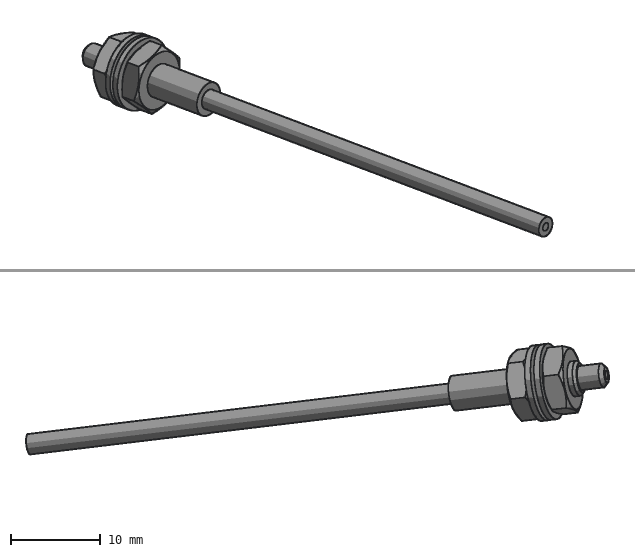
import cadquery as cq
import math

total_length = 68.0

core_radius = 0.5
cable_radius = 1.15

sleeve_radius = 2.0
sleeve_end = 17.95
tip_radius = 1.35
tip_length = 3.0
tip_chamfer = 0.5
shoulder_chamfer = 0.35

washer_radius = 4.25
washer_thickness = 0.7
washer_gap = 0.4
front_washer_start = 6.4
rear_washer_start = front_washer_start + washer_thickness + washer_gap

nut_flats = 7.0
nut_thickness = 2.45
nut_face_radius = 3.4
nut_chamfer_angle = 30.0
front_nut_start = front_washer_start - nut_thickness
rear_nut_start = rear_washer_start + washer_thickness
front_nut_turn = 48.5
rear_nut_turn = front_nut_turn - 30.0


def revolve_about_x(outline):
    """Turn an outline of (x, radius) points into a solid of revolution."""
    return cq.Workplane("XY").polyline(outline).close().revolve(360, (0, 0, 0), (1, 0, 0))


def cylinder(radius, start, end):
    return cq.Workplane("YZ").workplane(offset=start).circle(radius).extrude(end - start)


def make_core():
    """Optical core running the whole length, flush with both ends."""
    return cylinder(core_radius, 0, total_length)


def make_cable():
    """Cable jacket around the core, butting against the rear of the sleeve."""
    jacket = cylinder(cable_radius, sleeve_end, total_length)
    return jacket.cut(make_core())


def make_sleeve():
    """Stepped sleeve with a chamfered tip, bored for the core."""
    shoulder_radius = sleeve_radius - shoulder_chamfer
    outline = [
        (0, 0),
        (0, tip_radius - tip_chamfer),
        (tip_chamfer, tip_radius),
        (tip_length, tip_radius),
        (tip_length, shoulder_radius),
        (tip_length + shoulder_chamfer, sleeve_radius),
        (sleeve_end, sleeve_radius),
        (sleeve_end, 0),
    ]
    return revolve_about_x(outline).cut(make_core())


def sleeve_bore():
    """Cylinder that opens a nut or washer to fit the sleeve."""
    return cylinder(sleeve_radius, 0, sleeve_end)


def make_washer(start):
    return cylinder(washer_radius, start, start + washer_thickness).cut(sleeve_bore())


def make_nut(start, turn):
    """Hexagon nut with its corners chamfered conically on both faces."""
    corner_radius = nut_flats / 2 / math.cos(math.pi / 6)
    chamfer_length = (corner_radius - nut_face_radius) * math.tan(math.radians(nut_chamfer_angle))
    end = start + nut_thickness
    prism = (
        cq.Workplane("YZ")
        .workplane(offset=start)
        .polygon(6, 2 * corner_radius)
        .extrude(nut_thickness)
        .rotate((0, 0, 0), (1, 0, 0), turn)
    )
    envelope = revolve_about_x([
        (start, 0),
        (start, nut_face_radius),
        (start + chamfer_length, corner_radius),
        (end - chamfer_length, corner_radius),
        (end, nut_face_radius),
        (end, 0),
    ])
    return prism.intersect(envelope).cut(sleeve_bore())


core = make_core()
cable = make_cable()
sleeve = make_sleeve()
washers = [make_washer(start) for start in (front_washer_start, rear_washer_start)]
nut_places = [(front_nut_start, front_nut_turn), (rear_nut_start, rear_nut_turn)]
nuts = [make_nut(start, turn) for start, turn in nut_places]

result = cq.Compound.makeCompound([
    core.val(),
    cable.val(),
    sleeve.val(),
    *[washer.val() for washer in washers],
    *[nut.val() for nut in nuts],
])